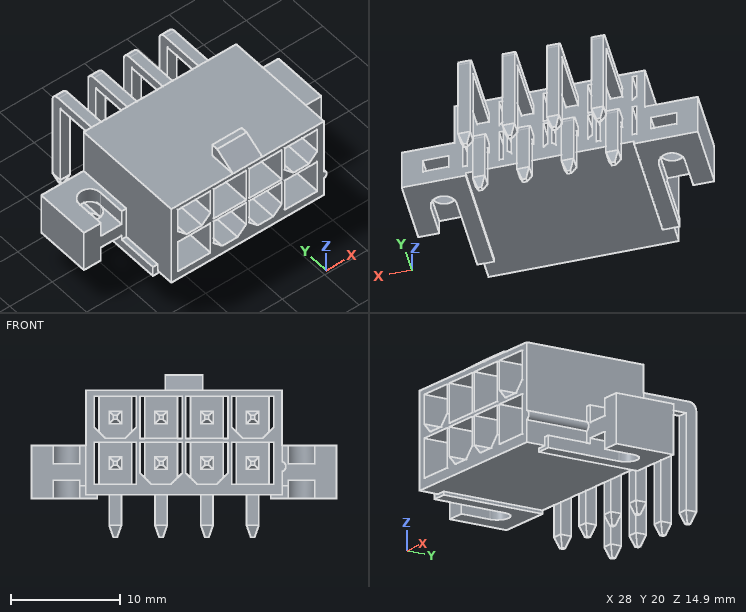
import cadquery as cq


overall_width = 28.0
housing_width = 18.0
housing_depth = 12.8
housing_height = 9.6
back_wall = 2.8

columns = 4
rows = 2
pitch = 4.2
lower_row_z = 2.9

cavity_size = 3.85
cavity_chamfer = 1.0
back_block_width = 3.02

latch_width = 3.47
latch_length = 3.02
latch_flat = 0.73
latch_height = 1.4

ear_depth = 6.25
ear_top = 4.55
standoff = 0.35
web_thickness = 1.5
screw_diameter = 2.45
screw_x = 10.78

rail_depth = 10.8
rail_top = 0.85
rail_inner_x = 7.95

rib_width = 0.9
rib_projection = 0.35
rib_z = 2.6

pin_size = 1.15
pin_tip_size = 0.35
pin_tip_length = 1.12
pin_bend_radius = 0.85
pin_bottom = -3.9
pin_recess = 2.8
upper_pin_reach = 7.17
post_row_spacing = 5.5


def box_between(x_range, y_range, z_range):
    """Box spanning the given (low, high) range along each axis."""
    size = [high - low for low, high in (x_range, y_range, z_range)]
    corner = (x_range[0], y_range[0], z_range[0])
    return cq.Workplane("XY").box(*size, centered=False).translate(corner)


def column_x(column):
    return (column - (columns - 1) / 2) * pitch


def row_z(row):
    return lower_row_z + row * pitch


def is_keyed(column, row):
    """Keyed cavities: the inner columns of the lower row and the outer columns of the upper row."""
    is_outer_column = column in (0, columns - 1)
    is_upper_row = row == rows - 1
    return is_outer_column == is_upper_row


def make_latch():
    profile = [
        (-housing_depth, 0),
        (-housing_depth + latch_length, 0),
        (-housing_depth + latch_length, latch_height),
        (-housing_depth + latch_length - latch_flat, latch_height),
    ]
    latch = cq.Workplane("YZ").polyline(profile).close().extrude(latch_width / 2, both=True)
    return latch.translate((0, 0, housing_height))


def make_ear():
    """Ear and rail of the +X side, with a screw hole that slots open out to the ear's front and back.

    The slots above and below the central web run to the front; the slot at web height runs to the back.
    """
    ear = box_between((housing_width / 2, overall_width / 2), (-ear_depth, 0), (-standoff, ear_top))
    rail_outer_x = screw_x - screw_diameter / 2
    rail = box_between((rail_inner_x, rail_outer_x), (-rail_depth, 0), (-standoff, rail_top))

    ear_height = ear_top + standoff
    screw_y = -ear_depth / 2
    hole = cq.Workplane("XY").circle(screw_diameter / 2).extrude(ear_height)
    hole = hole.translate((screw_x, screw_y, -standoff))

    web_bottom = (ear_top - standoff - web_thickness) / 2
    web_top = web_bottom + web_thickness
    slot_x = (rail_outer_x, screw_x + screw_diameter / 2)
    front_y = (-ear_depth, screw_y)
    back_y = (screw_y, 0)
    ear = ear.cut(hole)
    ear = ear.cut(box_between(slot_x, front_y, (-standoff, web_bottom)))
    ear = ear.cut(box_between(slot_x, front_y, (web_top, ear_top)))
    ear = ear.cut(box_between(slot_x, back_y, (web_bottom, web_top)))
    return ear.union(rail)


def make_rib():
    """Rib with an arched section along the whole +X side."""
    half = rib_width / 2
    section = cq.Workplane("XZ").moveTo(0, -half).threePointArc((rib_projection, 0), (0, half)).close()
    return section.extrude(housing_depth).translate((housing_width / 2, 0, rib_z))


def make_cavity(column, row):
    """Space cut for one contact: a cavity, two slots through the back wall and the pin hole."""
    cavity = cq.Workplane("XY").box(cavity_size, housing_depth, cavity_size)
    if is_keyed(column, row):
        cavity = cavity.edges("|Y and <Z").chamfer(cavity_chamfer)
    cavity = cavity.translate((0, -housing_depth / 2, 0))

    half_block = back_block_width / 2
    half_height = cavity_size / 2
    back_block = box_between((-half_block, half_block), (-back_wall, 0), (-half_height, half_height))
    pin_hole = cq.Workplane("XZ").rect(pin_size, pin_size).extrude(back_wall)
    space = cavity.cut(back_block).union(pin_hole)
    return space.translate((column_x(column), 0, row_z(row)))


def make_housing():
    half_width = housing_width / 2
    body = box_between((-half_width, half_width), (-housing_depth, 0), (0, housing_height))
    ear = make_ear()
    body = body.union(make_latch()).union(make_rib()).union(ear).union(ear.mirror("YZ"))
    for column in range(columns):
        for row in range(rows):
            body = body.cut(make_cavity(column, row))
    return body


def make_tip(plane):
    """Tapered pin end that starts at the origin and narrows along the plane's normal."""
    base = cq.Workplane(plane).rect(pin_size, pin_size)
    return base.workplane(offset=pin_tip_length).rect(pin_tip_size, pin_tip_size).loft()


def make_pin(column, row):
    """Right-angle pin: a contact along Y, then a post going down behind the housing."""
    half = pin_size / 2
    axis_z = row_z(row)
    reach = upper_pin_reach - (rows - 1 - row) * post_row_spacing
    contact_start = -housing_depth + pin_recess + pin_tip_length
    post_end = pin_bottom + pin_tip_length

    contact = box_between((-half, half), (contact_start, reach), (axis_z - half, axis_z + half))
    post = box_between((-half, half), (reach - pin_size, reach), (post_end, axis_z + half))
    pin = contact.union(post).edges("|X and >Y and >Z").fillet(pin_bend_radius)

    contact_tip = make_tip("XZ").translate((0, contact_start, axis_z))
    post_tip = make_tip(cq.Plane.named("XY").rotated((180, 0, 0))).translate((0, reach - half, post_end))
    return pin.union(contact_tip).union(post_tip).translate((column_x(column), 0, 0))


housing = make_housing()
pins = [make_pin(column, row) for column in range(columns) for row in range(rows)]

result = cq.Compound.makeCompound([housing.val(), *[pin.val() for pin in pins]])